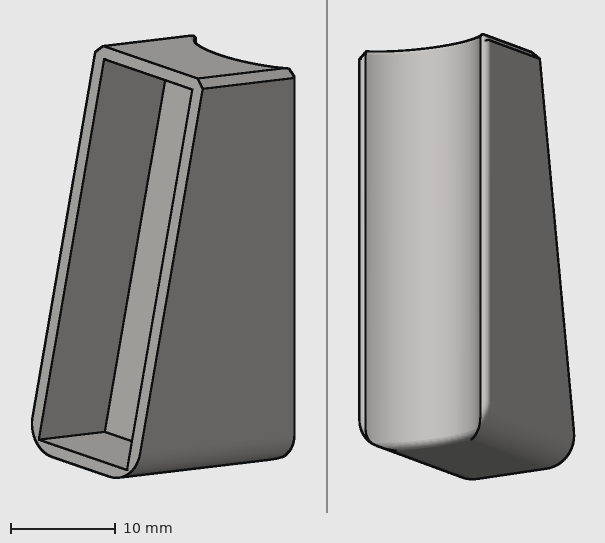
import cadquery as cq
import math

width = 13.35
depth = 24.3
height = 44.6
tilt = 15.0

wall = 1.2
pocket_depth = 10.2

top_chamfer = 0.8
bottom_radius = 3.1
back_edge_radius = 0.6

saddle_radius = 6.7
saddle_bite = 3.45

front_tip_z = 5.8
front_height = (height - front_tip_z) / math.cos(math.radians(tilt))

front_plane = cq.Plane(
    origin=(0, -depth, front_tip_z),
    xDir=(1, 0, 0),
    normal=(0, -math.cos(math.radians(tilt)), math.sin(math.radians(tilt))),
)


def make_bar():
    """Rectangular bar square to the front face, cut off at the vertical back plane."""
    bar = (
        cq.Workplane(front_plane)
        .center(0, front_height / 2)
        .rect(width, front_height)
        .extrude(-2 * depth)
    )
    envelope = cq.Workplane("XY").box(width, depth, 2 * height).translate((0, -depth / 2, height / 2))
    return bar.intersect(envelope)


def make_outer_block():
    """Bar chamfered along the top, rounded along the bottom and around the back face."""
    along_bar = cq.selectors.ParallelDirSelector(front_plane.zDir)
    top_edges = cq.selectors.CenterNthSelector(front_plane.yDir, -1)
    bottom_edges = cq.selectors.CenterNthSelector(front_plane.yDir, 0)
    block = make_bar()
    block = block.edges(along_bar).edges(top_edges).chamfer(top_chamfer)
    block = block.edges(along_bar).edges(bottom_edges).fillet(bottom_radius)
    return block.faces(">Y").edges().fillet(back_edge_radius)


def make_saddled_bar():
    """Plain bar with the saddle scooped out of its back and both curved rims rounded."""
    bar = make_bar().cut(make_saddle())
    return bar.edges("%ELLIPSE").fillet(back_edge_radius)


def make_saddle():
    """Vertical cylinder that scoops out the back."""
    return (
        cq.Workplane("XY")
        .center(0, saddle_radius - saddle_bite)
        .circle(saddle_radius)
        .extrude(2 * height)
        .translate((0, 0, -height / 2))
    )


def make_pocket():
    """Rectangular pocket sunk square into the front face."""
    return (
        cq.Workplane(front_plane)
        .center(0, front_height / 2)
        .rect(width - 2 * wall, front_height - 2 * wall)
        .extrude(-pocket_depth)
    )


result = make_outer_block().intersect(make_saddled_bar()).cut(make_pocket())